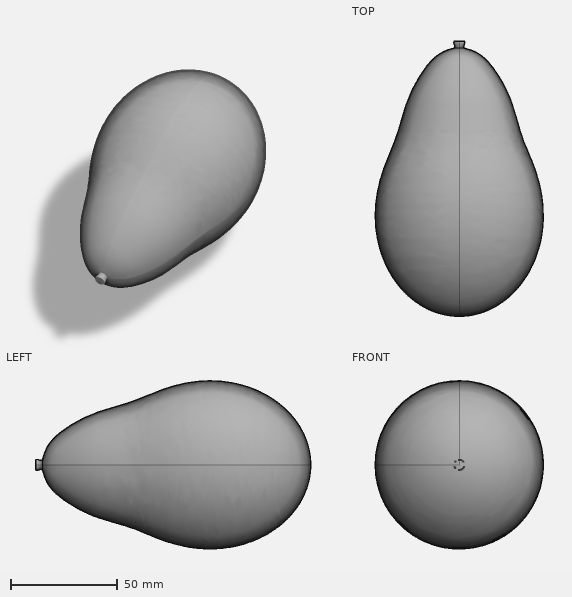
import cadquery as cq
import math


total_length = 129.27
body_diameter = 79.1

stem_length = 3.2
stem_foot_radius = 2.4
shank_radius = 2.25
shank_height = 1.1
rim_radius = 2.6
rim_height = 2.4
stem_end_radius = 2.4

body_length = total_length - stem_length
body_radius = body_diameter / 2
belly_length = 47.4

shoulder_length, shoulder_radius = 69.4, 35.5
waist_length, waist_radius = 85.0, 29.4
neck_length, neck_radius = 100.6, 24.6
crown_length, crown_radius = 116.1, 16.4
nose_length, nose_radius = 122.4, 10.6

nose_slope = math.radians(12)

base_steps = 4

quarter_turn = 90
remaining_turn = 360 - quarter_turn

base_y = -total_length / 2


def station(radius, length):
    """Profile point on the -X side, at a radius from the axis and a length from the base tip."""
    return (-radius, base_y + length)


def base_point(step):
    """Point on the elliptical base, from the tip (step 0) to the belly (last step)."""
    angle = math.pi / 2 * step / base_steps
    return station(body_radius * math.sin(angle), belly_length * (1 - math.cos(angle)))


def make_profile():
    """Half section: base, belly, tapering neck and blunt nose, then the stem."""
    base_points = [base_point(step) for step in range(1, base_steps + 1)]
    taper_points = [
        station(shoulder_radius, shoulder_length),
        station(waist_radius, waist_length),
        station(neck_radius, neck_length),
        station(crown_radius, crown_length),
        station(nose_radius, nose_length),
        station(stem_foot_radius, body_length),
    ]
    stem_points = [
        station(shank_radius, body_length + shank_height),
        station(rim_radius, body_length + rim_height),
        station(stem_end_radius, total_length),
    ]
    away_from_axis = (-1, 0)
    toward_stem = (math.cos(nose_slope), math.sin(nose_slope))
    return (
        cq.Workplane("XY")
        .moveTo(*station(0, 0))
        .spline(
            base_points + taper_points,
            tangents=[away_from_axis, toward_stem],
            scale=False,
            includeCurrent=True,
        )
        .spline(stem_points, includeCurrent=True)
        .lineTo(*station(0, total_length))
        .close()
    )


def make_sector(start_angle, sweep_angle):
    """Part of the full turn about the Y axis, starting start_angle past the -X side."""
    axis_start = (0, 0, 0)
    axis_end = (0, 1, 0)
    sector = make_profile().revolve(sweep_angle, axis_start, axis_end)
    return sector.rotate(axis_start, axis_end, start_angle)


upper_quarter = make_sector(0, quarter_turn)
remainder = make_sector(quarter_turn, remaining_turn)

result = upper_quarter.union(remainder, clean=False).solids()